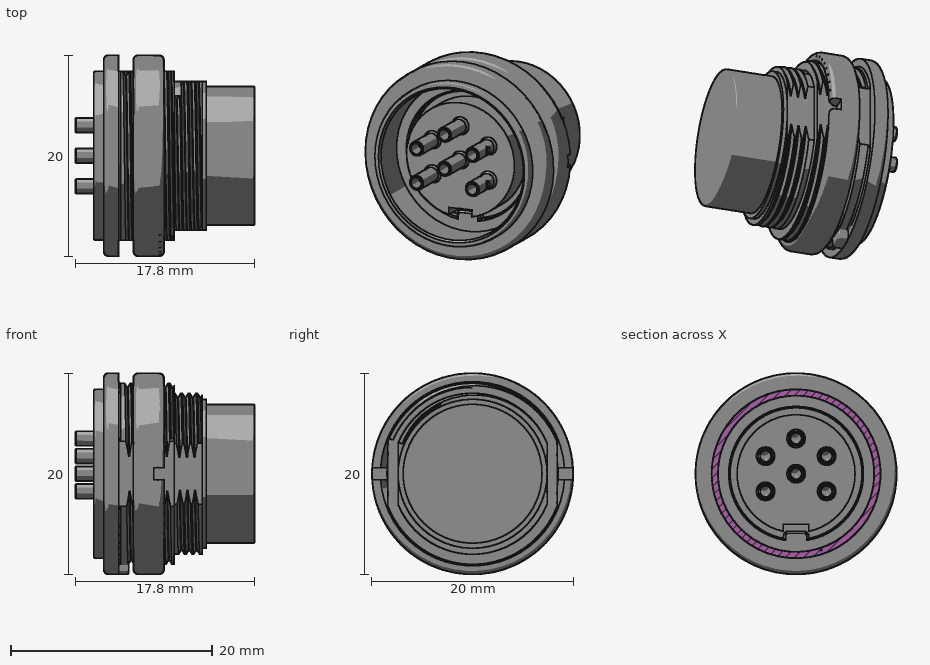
import cadquery as cq
import math


FLANGE_START = 1.0
FLANGE_END = 2.5
LARGE_THREAD_END = 8.0
SMALL_THREAD_END = 10.8
COLLAR_END = 11.2
NOSE_END = 16.0

RIM_RADIUS = 16.8 / 2
FLANGE_RADIUS = 20.0 / 2
COLLAR_RADIUS = 14.8 / 2
NOSE_RADIUS = 13.8 / 2
RIM_ROUND = 0.2
FLANGE_ROUND = 0.5
FLANGE_FILLET = 0.2
NOSE_ROUND = 0.15

LARGE_THREAD_RADIUS = 18.0 / 2
SMALL_THREAD_RADIUS = 16.0 / 2
PITCH = 0.75
THREAD_DEPTH = 0.42
ROOT_WIDTH = 0.08
CREST_WIDTH = 0.15
TOOL_OVERSHOOT = 0.05
GROOVE_TOP_ANGLE = 90.0
GROOVE_END_ANGLE = 157.0
LARGE_GROOVE_START_ANGLE = 22.0
LARGE_GROOVE_TOP_X = 3.36
LARGE_GROOVE_TURNS = 6
SMALL_GROOVE_START_ANGLE = 42.0
SMALL_GROOVE_TOP_X = 8.36
SMALL_GROOVE_TURNS = 3
LARGE_FLAT = RIM_RADIUS
SMALL_FLAT = COLLAR_RADIUS

NUT_START = 3.95
NUT_WIDTH = 3.05
NUT_RADIUS = FLANGE_RADIUS
NUT_BORE_RADIUS = LARGE_THREAD_RADIUS - THREAD_DEPTH - 0.08
NUT_MOUTH_RADIUS = 18.3 / 2
NUT_ROUND = 0.5
NUT_SLOT_WIDTH = 1.2
NUT_SLOT_DEPTH = 1.0

LUG_LENGTH = 1.0
LUG_WIDTH = 2.2
LUG_ROOT_RADIUS = 8.5
LUG_ROUND = 0.5
LUG_END_ROUND = 0.2
LUG_FILLET = 0.2

CAVITY_RADIUS = 15.5 / 2
CAVITY_DEPTH = 4.0
CAVITY_CHAMFER = 0.2
SOCKET_RADIUS = 6.55
SOCKET_CHAMFER = 0.15
SOCKET_DEPTH = 1.0
SOCKET_BOTTOM = CAVITY_DEPTH + SOCKET_DEPTH
INSERT_RADIUS = 5.86
INSERT_FACE = 2.2
KEYWAY_TOP = -5.0
KEY_WIDTH = 2.5
KEY_TOP = -5.7
KEY_ROUND = 0.5
KEY_CHAMFER = 0.2

PIN_RADIUS = 1.48 / 2
PIN_TIP = -1.8
PIN_TIP_CHAMFER = 0.1
PIN_CIRCLE_RADIUS = 3.5
PIN_ANGLES = [-30, 30, 90, 150, 210]
PIN_FOOT_RADIUS = 1.82 / 2
PIN_FOOT_LENGTH = 0.3
CUP_RADIUS = 1.1 / 2
CUP_DEPTH = 3.0
CUP_POINT_DEPTH = 0.3
VENT_RADIUS = 0.8 / 2
VENT_X = 0.47


def cylinder(x_start, x_end, radius, y=0.0, z=0.0):
    plane = cq.Workplane("YZ", origin=(x_start, y, z))
    return plane.circle(radius).extrude(x_end - x_start)


def block(x_start, x_end, y_width, z_bottom, z_top):
    size = (x_end - x_start, y_width, z_top - z_bottom)
    return cq.Workplane("XY").box(*size, centered=(False, True, False)).translate((x_start, 0, z_bottom))


def thread_groove(radius, start_angle, top_x, turns):
    """Helical cutter that winds right-handed about X."""
    x_start = top_x - PITCH * (GROOVE_TOP_ANGLE - start_angle) / 360
    length = PITCH * (turns + (GROOVE_END_ANGLE - start_angle) / 360)
    root_radius = radius - THREAD_DEPTH
    root_half = ROOT_WIDTH / 2
    flank_slope = ((PITCH - CREST_WIDTH) / 2 - root_half) / THREAD_DEPTH
    outer_radius = radius + TOOL_OVERSHOOT
    outer_half = root_half + flank_slope * (outer_radius - root_radius)
    helix = cq.Workplane(obj=cq.Wire.makeHelix(PITCH, length, root_radius))
    profile = cq.Workplane("XZ").polyline([
        (root_radius, -root_half),
        (outer_radius, -outer_half),
        (outer_radius, outer_half),
        (root_radius, root_half),
    ]).close()
    groove = profile.sweep(helix, isFrenet=True)
    groove = groove.rotate((0, 0, 0), (1, 1, 1), 120)
    groove = groove.rotate((0, 0, 0), (1, 0, 0), start_angle)
    return groove.translate((x_start, 0, 0))


def threaded_section(x_start, x_end, radius, flat, groove):
    section = cylinder(x_start - 2 * PITCH, x_end + 2 * PITCH, radius).cut(groove)
    return section.intersect(block(x_start, x_end, 2 * flat, -radius, radius))


def make_flange_fillet():
    """Concave ring between the flange and the large thread, interrupted by the flats."""
    outer = LARGE_THREAD_RADIUS + FLANGE_FILLET
    x_end = FLANGE_END + FLANGE_FILLET
    inset = FLANGE_FILLET * (1 - math.sqrt(0.5))
    ring = (
        cq.Workplane("XY")
        .moveTo(FLANGE_END, outer)
        .threePointArc((FLANGE_END + inset, LARGE_THREAD_RADIUS + inset), (x_end, LARGE_THREAD_RADIUS))
        .lineTo(x_end, LARGE_FLAT)
        .lineTo(FLANGE_END, LARGE_FLAT)
        .close()
        .revolve(360, (0, 0, 0), (1, 0, 0))
    )
    return ring.intersect(block(FLANGE_END, x_end, 2 * LARGE_FLAT, -outer, outer))


def make_shell():
    rim = cylinder(0, FLANGE_START, RIM_RADIUS).faces("<X").edges().fillet(RIM_ROUND)
    flange = cylinder(FLANGE_START, FLANGE_END, FLANGE_RADIUS).faces("<X").edges().fillet(FLANGE_ROUND)
    large_groove = thread_groove(
        LARGE_THREAD_RADIUS, LARGE_GROOVE_START_ANGLE, LARGE_GROOVE_TOP_X, LARGE_GROOVE_TURNS
    )
    small_groove = thread_groove(
        SMALL_THREAD_RADIUS, SMALL_GROOVE_START_ANGLE, SMALL_GROOVE_TOP_X, SMALL_GROOVE_TURNS
    )
    large = threaded_section(FLANGE_END, LARGE_THREAD_END, LARGE_THREAD_RADIUS, LARGE_FLAT, large_groove)
    small = threaded_section(LARGE_THREAD_END, SMALL_THREAD_END, SMALL_THREAD_RADIUS, SMALL_FLAT, small_groove)
    large = large.union(make_flange_fillet())
    collar = cylinder(SMALL_THREAD_END, COLLAR_END, COLLAR_RADIUS)
    nose = cylinder(COLLAR_END, NOSE_END, NOSE_RADIUS).faces(">X").edges().fillet(NOSE_ROUND)
    return rim.union(flange).union(large).union(small).union(collar).union(nose)


def make_nut():
    nut_end = NUT_START + NUT_WIDTH
    nut = cylinder(NUT_START, nut_end, NUT_RADIUS).edges().fillet(NUT_ROUND)
    countersink = NUT_MOUTH_RADIUS - NUT_BORE_RADIUS
    bore = (
        cq.Workplane("XY")
        .polyline([
            (NUT_START, 0),
            (NUT_START, NUT_MOUTH_RADIUS),
            (NUT_START + countersink, NUT_BORE_RADIUS),
            (nut_end - countersink, NUT_BORE_RADIUS),
            (nut_end, NUT_MOUTH_RADIUS),
            (nut_end, 0),
        ])
        .close()
        .revolve(360, (0, 0, 0), (1, 0, 0))
    )
    nut = nut.cut(bore)
    half_slot = NUT_SLOT_WIDTH / 2
    return nut.cut(block(nut_end - NUT_SLOT_DEPTH, nut_end, 2 * NUT_RADIUS, -half_slot, half_slot))


def make_lug():
    """Rounded block on the flange, filleted into a patch of the land below it."""
    lug_end = FLANGE_END + LUG_LENGTH
    lug = block(FLANGE_END, lug_end, LUG_WIDTH, -FLANGE_RADIUS, -LUG_ROOT_RADIUS)
    lug = lug.faces("<Z").edges("|X").fillet(LUG_ROUND)
    lug = lug.faces(">X").edges().fillet(LUG_END_ROUND)
    patch_width = LUG_WIDTH + 4 * LUG_FILLET
    patch = cylinder(FLANGE_END, lug_end, LARGE_THREAD_RADIUS)
    patch = patch.intersect(block(FLANGE_END, lug_end, patch_width, -LARGE_THREAD_RADIUS, -LUG_ROOT_RADIUS))
    side_strip = cq.selectors.BoxSelector(
        (FLANGE_END, -LUG_WIDTH, -LARGE_THREAD_RADIUS),
        (lug_end, LUG_WIDTH, -LUG_ROOT_RADIUS - LUG_FILLET),
    )
    return patch.union(lug).edges("|X").edges(side_strip).fillet(LUG_FILLET)


def make_cavity():
    """Rear opening: a chamfered bore leading into a narrower chamfered socket."""
    profile = cq.Workplane("XY").polyline([
        (0, 0),
        (0, CAVITY_RADIUS + CAVITY_CHAMFER),
        (CAVITY_CHAMFER, CAVITY_RADIUS),
        (CAVITY_DEPTH, CAVITY_RADIUS),
        (CAVITY_DEPTH, SOCKET_RADIUS + SOCKET_CHAMFER),
        (CAVITY_DEPTH + SOCKET_CHAMFER, SOCKET_RADIUS),
        (SOCKET_BOTTOM, SOCKET_RADIUS),
        (SOCKET_BOTTOM, 0),
    ]).close()
    return profile.revolve(360, (0, 0, 0), (1, 0, 0))


def make_insert():
    """Contact carrier disc standing in the socket, notched around the key."""
    disc = cylinder(INSERT_FACE, SOCKET_BOTTOM, INSERT_RADIUS)
    return disc.cut(block(INSERT_FACE, SOCKET_BOTTOM, KEY_WIDTH, -INSERT_RADIUS, KEYWAY_TOP))


def make_key():
    """Key that reaches inward from the socket wall, chamfered around its rear face."""
    root = -(SOCKET_RADIUS + SOCKET_CHAMFER)
    key = block(CAVITY_DEPTH, SOCKET_BOTTOM, KEY_WIDTH, root, KEY_TOP)
    key = key.faces(">Z").edges("|X").fillet(KEY_ROUND)
    key = key.faces("<X").edges().chamfer(KEY_CHAMFER)
    wall_fill = block(CAVITY_DEPTH, SOCKET_BOTTOM, KEY_WIDTH - 2 * KEY_CHAMFER, root, root + 2 * KEY_CHAMFER)
    return key.union(wall_fill)


def make_pin(y, z):
    pin = cylinder(PIN_TIP, INSERT_FACE, PIN_RADIUS, y, z).faces("<X").edges().chamfer(PIN_TIP_CHAMFER)
    foot = cq.Solid.makeCone(
        PIN_RADIUS, PIN_FOOT_RADIUS, PIN_FOOT_LENGTH,
        cq.Vector(INSERT_FACE - PIN_FOOT_LENGTH, y, z), cq.Vector(1, 0, 0),
    )
    cup_bottom = PIN_TIP + CUP_DEPTH
    cup = cylinder(PIN_TIP, cup_bottom, CUP_RADIUS, y, z)
    cup_point = cq.Solid.makeCone(
        CUP_RADIUS, 0, CUP_POINT_DEPTH, cq.Vector(cup_bottom, y, z), cq.Vector(1, 0, 0),
    )
    pin = pin.union(cq.Workplane(foot)).cut(cup).cut(cq.Workplane(cup_point))
    if abs(y) > PIN_RADIUS:
        outward = cq.Vector(0, math.copysign(1, y), 0)
        vent = cq.Solid.makeCylinder(VENT_RADIUS, 2 * PIN_RADIUS, cq.Vector(VENT_X, y, z), outward)
        pin = pin.cut(cq.Workplane(vent))
    return pin


result = make_shell().union(make_nut()).union(make_lug())
result = result.cut(make_cavity()).union(make_insert()).union(make_key())
result = result.union(make_pin(0, 0))
for angle in PIN_ANGLES:
    pin_y = PIN_CIRCLE_RADIUS * math.cos(math.radians(angle))
    pin_z = PIN_CIRCLE_RADIUS * math.sin(math.radians(angle))
    result = result.union(make_pin(pin_y, pin_z))